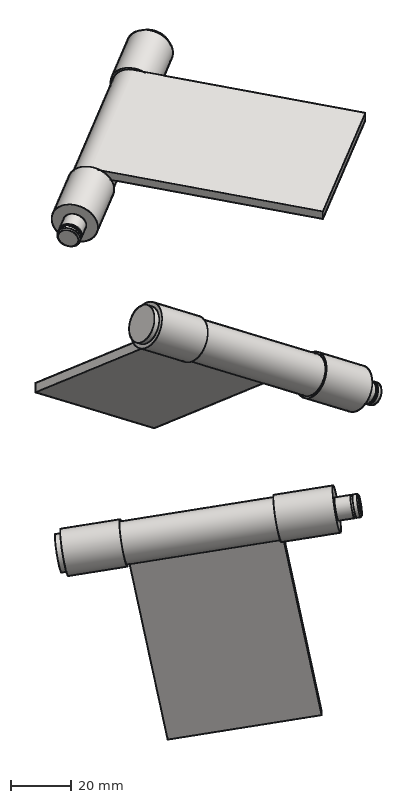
import cadquery as cq


sleeve_diameter = 16.0
sleeve_length = 20.0

overall_width = 88.0
leaf_width = 52.0
leaf_reach = overall_width - sleeve_diameter / 2
leaf_thickness = 3.4
knuckle_diameter = 14.6

pin_diameter = 8.0
pin_projection = 8.0
pin_chamfer = 0.5
groove_offset = 5.3
groove_width = 0.7
groove_depth = 0.36
head_diameter = 13.1
head_length = 2.0

knuckle_front = -leaf_width / 2
knuckle_back = leaf_width / 2
sleeves_front = knuckle_front - sleeve_length
sleeves_back = knuckle_back + sleeve_length
pin_tip = sleeves_front - pin_projection


def cylinder(diameter, start, length):
    """Cylinder on the hinge axis, running from Y = start towards +Y."""
    return cq.Workplane("XZ", origin=(0, start, 0)).circle(diameter / 2).extrude(-length)


def make_leaf():
    """Flat plate tangent to the top of its knuckle, bored for the pin."""
    plate = cq.Workplane("XY").box(
        leaf_reach, leaf_width, leaf_thickness, centered=(False, True, False)
    ).translate((0, 0, knuckle_diameter / 2 - leaf_thickness))
    knuckle = cylinder(knuckle_diameter, knuckle_front, leaf_width)
    bore = cylinder(pin_diameter, knuckle_front, leaf_width)
    return knuckle.union(plate).cut(bore)


def make_sleeve(start):
    """Plain tube around the pin."""
    outside = cylinder(sleeve_diameter, start, sleeve_length)
    bore = cylinder(pin_diameter, start, sleeve_length)
    return outside.cut(bore)


def make_pin():
    """Headed pin with a chamfered tip and a retaining groove."""
    shank = cylinder(pin_diameter, pin_tip, sleeves_back - pin_tip)
    shank = shank.faces("<Y").chamfer(pin_chamfer)

    groove_start = sleeves_front - groove_offset - groove_width
    groove_core = cylinder(pin_diameter - 2 * groove_depth, groove_start, groove_width)
    groove = cylinder(pin_diameter, groove_start, groove_width).cut(groove_core)

    head = cylinder(head_diameter, sleeves_back, head_length)
    return shank.cut(groove).union(head)


leaf = make_leaf()
sleeves = [make_sleeve(start) for start in (sleeves_front, knuckle_back)]
pin = make_pin()

result = cq.Compound.makeCompound([leaf.val(), *[sleeve.val() for sleeve in sleeves], pin.val()])